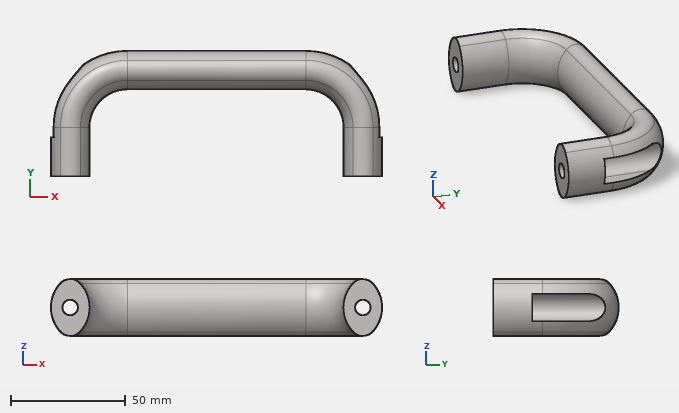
import cadquery as cq
import math

length = 145.0
depth = 55.0
grip_height = 25.0
grip_width = 17.0
end_radius = 6.0
bend_radius = 25.0
screw_diameter = 6.7
pocket_diameter = 11.9
seat_thickness = 17.1

leg_x = (length - grip_width) / 2
bar_y = depth - grip_width / 2
leg_length = bar_y - bend_radius
straight_x = leg_x - bend_radius

half_width = grip_width / 2
end_center = grip_height / 2 - end_radius
side_radius = (half_width**2 + end_center**2 - end_radius**2) / (2 * (half_width - end_radius))
junction_angle = math.atan2(end_center, side_radius - half_width)
junction_x = end_radius * math.cos(junction_angle)
junction_z = end_center + end_radius * math.sin(junction_angle)


def oval_section():
    """Four-arc oval at the foot of the left leg."""
    return (
        cq.Workplane("XZ", origin=(-leg_x, 0, 0))
        .moveTo(junction_x, -junction_z)
        .threePointArc((half_width, 0), (junction_x, junction_z))
        .threePointArc((0, grip_height / 2), (-junction_x, junction_z))
        .threePointArc((-half_width, 0), (-junction_x, -junction_z))
        .threePointArc((0, -grip_height / 2), (junction_x, -junction_z))
        .close()
    )


def handle_body():
    """Oval section swept along the bent centreline."""
    path = (
        cq.Workplane("XY")
        .moveTo(-leg_x, 0)
        .lineTo(-leg_x, leg_length)
        .radiusArc((-straight_x, bar_y), bend_radius)
        .lineTo(straight_x, bar_y)
        .radiusArc((leg_x, leg_length), bend_radius)
        .lineTo(leg_x, 0)
    )
    return oval_section().sweep(path)


def screw_hole(side):
    """Hole running along one leg; side is -1 or 1."""
    return (
        cq.Workplane("XZ", origin=(side * leg_x, 0, 0))
        .circle(screw_diameter / 2)
        .extrude(-depth)
    )


def screw_head_pocket(side):
    """Round-backed pocket, open to the back and to the outer end of the handle."""
    seat = cq.Workplane("XZ", origin=(side * leg_x, seat_thickness, 0))
    bore = seat.circle(pocket_diameter / 2).extrude(-depth)
    opening = seat.center(side * half_width, 0).rect(grip_width, pocket_diameter).extrude(-depth)
    return bore.union(opening)


result = handle_body()
for side in (-1, 1):
    result = result.cut(screw_hole(side)).cut(screw_head_pocket(side))